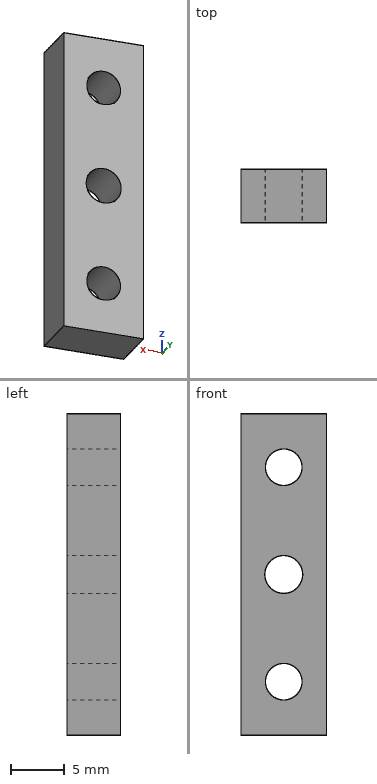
import cadquery as cq

width = 8.0
depth = 5.0
height = 30.0

end_hole_diameter = 3.4
middle_hole_diameter = 3.5
hole_spacing = height / 3

bar = cq.Workplane("XZ").box(width, height, depth)

end_hole_centres = [(0, -hole_spacing), (0, hole_spacing)]
bar = bar.faces("<Y").workplane(origin=(0, 0, 0)).pushPoints(end_hole_centres).hole(end_hole_diameter)
result = bar.faces("<Y").workplane(origin=(0, 0, 0)).hole(middle_hole_diameter)